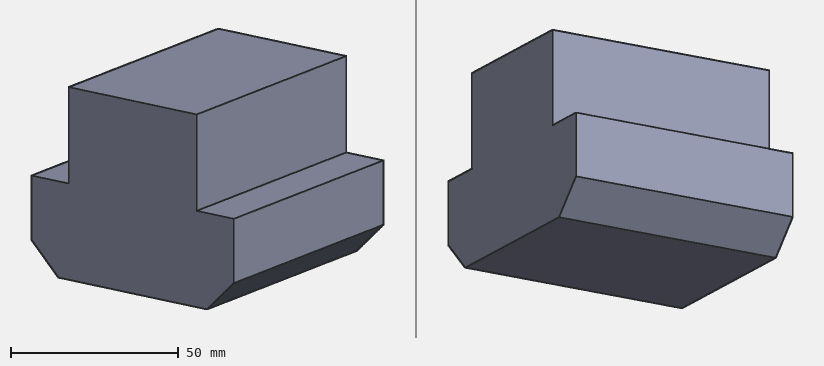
import cadquery as cq

length = 75.0
base_width = 75.0
total_height = 60.0

base_height = total_height / 2
neck_width = 47.5
chamfer_size = 10.0

base = (
    cq.Workplane("XY")
    .box(base_width, length, base_height, centered=(True, True, False))
    .edges("|Y and <Z")
    .chamfer(chamfer_size)
)

neck = (
    cq.Workplane("XY")
    .workplane(offset=base_height)
    .box(neck_width, length, total_height - base_height, centered=(True, True, False))
)

result = base.union(neck)